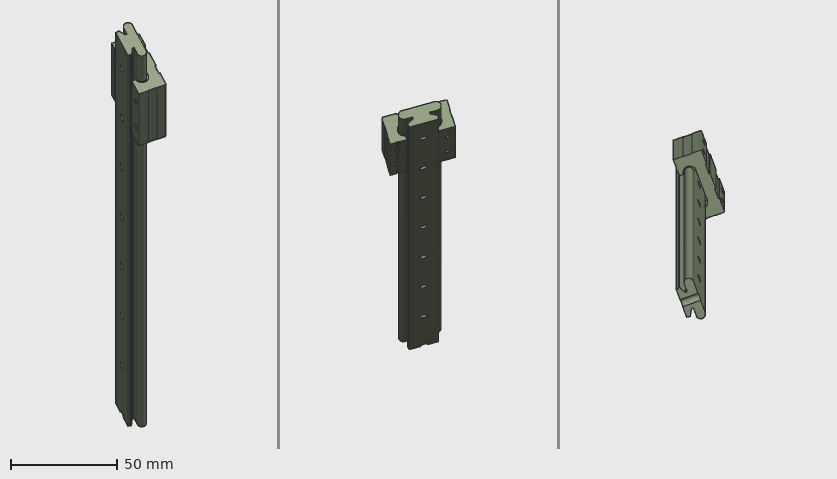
import cadquery as cq

rail_length = 300.0
rail_height = 9.0
head_width = 20.7
head_thickness = 4.5
head_bottom = rail_height - head_thickness
head_middle = rail_height - head_thickness / 2
neck_width = 8.5
base_width = 15.0
base_edge_height = 1.8
base_neck_height = 3.5
foot_height = 1.2
foot_inset = 0.25
foot_width = base_width - 2 * foot_inset

rail_hole_diameter = 3.5
rail_hole_count = 8
rail_hole_pitch = rail_length / (rail_hole_count - 0.5)
first_hole_z = rail_length - rail_hole_pitch / 2

carriage_width = 32.0
carriage_length = 42.0
carriage_top = 279.0
carriage_bottom = carriage_top - carriage_length
carriage_middle = carriage_top - carriage_length / 2
carriage_front = 1.8
carriage_back = 16.0
corner_radius = 0.75

channel_width = 21.5
channel_front = 4.0
channel_back = 10.2
channel_middle = (channel_front + channel_back) / 2
opening_width = 15.5

back_groove_width = 4.8
back_groove_depth = 0.5
back_groove_x = 6.3
side_groove_width = 4.5
side_groove_depth = 0.18
side_groove_y = 9.0
mark_groove_width = 1.0
mark_groove_depth = 0.3

mount_hole_diameter = 2.55
mount_spacing_x = 25.0
mount_spacing_z = 20.0


def carriage_block(center_x, width, front, back):
    """A box as long as the carriage, given by its width about center_x and its extent in Y."""
    box = cq.Workplane("XY").box(width, back - front, carriage_length, centered=(True, False, False))
    return box.translate((center_x, front, carriage_bottom))


def rounded_bar(width, front, back, length, bottom):
    """A bar along Z whose left and right sides are half-round."""
    section = cq.Workplane("XY", origin=(0, (front + back) / 2, bottom)).slot2D(width, back - front)
    return section.extrude(length)


def channel_bar():
    """The space of the carriage channel, without its opening."""
    return rounded_bar(channel_width, channel_front, channel_back, carriage_length, carriage_bottom)


def head_bar(length, bottom):
    """A length of the rail head."""
    return rounded_bar(head_width, head_bottom, rail_height, length, bottom)


def hole_along_y(diameter, x, z):
    """A cylinder from the rail's mounting face to the carriage's back."""
    circle = cq.Workplane("XZ", origin=(x, carriage_back, z)).circle(diameter / 2)
    return circle.extrude(carriage_back)


def make_rail():
    half_section = (
        cq.Workplane("XY")
        .lineTo(foot_width / 2, 0)
        .lineTo(foot_width / 2, foot_height)
        .lineTo(base_width / 2, foot_height)
        .lineTo(base_width / 2, base_edge_height)
        .lineTo(neck_width / 2, base_neck_height)
        .lineTo(neck_width / 2, head_middle)
        .lineTo(0, head_middle)
        .mirrorY()
    )
    body = half_section.extrude(rail_length).union(head_bar(rail_length, 0))
    for index in range(rail_hole_count):
        hole_z = first_hole_z - index * rail_hole_pitch
        body = body.cut(hole_along_y(rail_hole_diameter, 0, hole_z))
    return body


def cut_channel(body):
    """Cut the channel for the rail head and the opening for the base."""
    opening = carriage_block(0, opening_width, carriage_front, channel_middle)
    return body.cut(channel_bar()).cut(opening)


def cut_grooves(body):
    """Cut a groove in each side, one in each half of the back, and the marking groove at the front."""
    side_groove_front = side_groove_y - side_groove_width / 2
    side_groove_back = side_groove_y + side_groove_width / 2
    back_groove_floor = carriage_back - back_groove_depth
    for side in (-1, 1):
        side_x = side * carriage_width / 2
        back_x = side * back_groove_x
        body = body.cut(carriage_block(side_x, 2 * side_groove_depth, side_groove_front, side_groove_back))
        body = body.cut(carriage_block(back_x, back_groove_width, back_groove_floor, carriage_back))

    mark_x = -mount_spacing_x / 2
    mark_floor = carriage_front + mark_groove_depth
    return body.cut(carriage_block(mark_x, mark_groove_width, carriage_front, mark_floor))


def cut_mounting_holes(body):
    for side in (-1, 1):
        for end in (-1, 1):
            hole_x = side * mount_spacing_x / 2
            hole_z = carriage_middle + end * mount_spacing_z / 2
            body = body.cut(hole_along_y(mount_hole_diameter, hole_x, hole_z))
    return body


def make_carriage():
    body = carriage_block(0, carriage_width, carriage_front, carriage_back)
    body = body.edges("|Z and >Y").fillet(corner_radius)
    body = cut_channel(body)
    body = cut_grooves(body)
    return cut_mounting_holes(body)


def make_liner(side):
    """Sliding liner that fills the channel around one rounded edge of the rail head."""
    liner_width = (channel_width - opening_width) / 2
    liner_x = side * (opening_width + liner_width) / 2
    liner_block = carriage_block(liner_x, liner_width, channel_front, channel_back)
    return channel_bar().intersect(liner_block).cut(head_bar(carriage_length, carriage_bottom))


rail = make_rail()
carriage = make_carriage()
liners = [make_liner(side) for side in (-1, 1)]

result = cq.Compound.makeCompound([rail.val(), carriage.val(), *[liner.val() for liner in liners]])